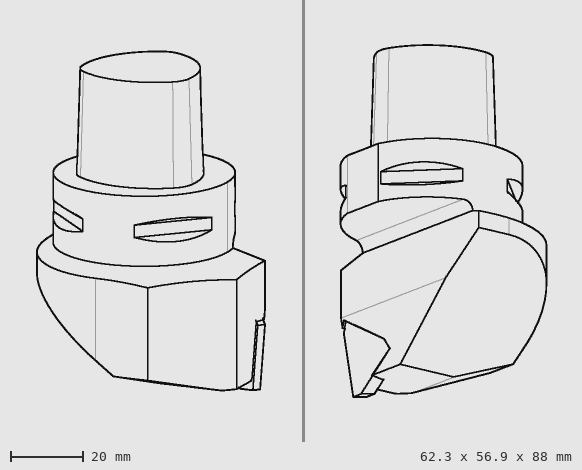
import cadquery as cq
import math


SHANK_HEIGHT = 30.0
SHANK_DRAFT = 1.8
LOBE_RADIUS = 7.9
LOBE_REACH = 18.7
SIDE_REACH = 16.4
LOBE_COUNT = 3

FLANGE_RADIUS = 25.1
FLANGE_HEIGHT = 20.0
FLAT_Y = 24.1
UNDERCUT_Z = -17.1
UNDERCUT_RISE = 0.35
UNDERCUT_FILLET = 3.0

GROOVE_COUNT = 4
GROOVE_Z = -10.0
GROOVE_FLOOR_DISTANCE = 22.35
GROOVE_FLOOR_WIDTH = 3.5
GROOVE_MOUTH_WIDTH = 6.6

HEAD_LEFT_X = -27.3
HEAD_RIGHT_X = 34.3
HEAD_FACE_Y = 4.8
HEAD_FRONT_Y = -32.8
HEAD_CORNER_RADIUS = -HEAD_LEFT_X
HEAD_CORNER_CUT = 18.5
HEAD_BOTTOM_Z = -54.5
HEAD_TOP_SLOPE = 15.0
RELIEF_LEFT_Z = -25.5
RELIEF_BOTTOM_X = 12.3
FRONT_BEVEL_Y = -17.3
FRONT_BEVEL_Z = -49.5
FACE_TILT_Z = -36.3
FACE_BOTTOM_Y = 1.3

INSERT_TIP = (35.0, 0, SHANK_HEIGHT - 88)
INSERT_FLAT = 3.7
INSERT_EDGE = 18.0
INSERT_THICKNESS = 4.7
INSERT_TILT = 10.5
INSERT_YAW = 2.0
INSERT_SIDES = 3

CUT_MARGIN = 8.8


def polar(radius, degrees):
    angle = math.radians(degrees)
    return (radius * math.cos(angle), radius * math.sin(angle))


def make_shank():
    """Three lobes joined tangentially by three broad arcs, tapering upward."""
    lobe_offset = LOBE_REACH - LOBE_RADIUS
    half_step = 180 / LOBE_COUNT
    along = lobe_offset * math.cos(math.radians(half_step))
    across = lobe_offset * math.sin(math.radians(half_step))
    reach_gap = SIDE_REACH - LOBE_RADIUS
    side_offset = (lobe_offset**2 - reach_gap**2) / (2 * (reach_gap - along))
    side_half_angle = math.degrees(math.atan2(across, along + side_offset))
    lobe_half_angle = half_step - side_half_angle

    def lobe_point(lobe_angle, turn):
        center = polar(lobe_offset, lobe_angle)
        rim = polar(LOBE_RADIUS, lobe_angle + turn)
        return (center[0] + rim[0], center[1] + rim[1])

    first_angle = 90
    step = 360 / LOBE_COUNT
    outline = cq.Workplane("XY").moveTo(*lobe_point(first_angle, -lobe_half_angle))
    for index in range(LOBE_COUNT):
        angle = first_angle + index * step
        outline = outline.threePointArc(lobe_point(angle, 0), lobe_point(angle, lobe_half_angle))
        side_middle = polar(SIDE_REACH, angle + half_step)
        outline = outline.threePointArc(side_middle, lobe_point(angle + step, -lobe_half_angle))
    return outline.close().extrude(SHANK_HEIGHT, taper=SHANK_DRAFT)


def make_groove_cutter():
    """Trapezoidal groove with a flat floor, square to the X direction."""
    length = 2 * FLANGE_RADIUS
    slope = (GROOVE_MOUTH_WIDTH - GROOVE_FLOOR_WIDTH) / 2 / (FLANGE_RADIUS - GROOVE_FLOOR_DISTANCE)
    outer_x = FLANGE_RADIUS + CUT_MARGIN
    floor_half = GROOVE_FLOOR_WIDTH / 2
    outer_half = floor_half + slope * (outer_x - GROOVE_FLOOR_DISTANCE)
    return (
        cq.Workplane("XZ")
        .polyline([
            (GROOVE_FLOOR_DISTANCE, GROOVE_Z - floor_half),
            (outer_x, GROOVE_Z - outer_half),
            (outer_x, GROOVE_Z + outer_half),
            (GROOVE_FLOOR_DISTANCE, GROOVE_Z + floor_half),
        ])
        .close()
        .extrude(length / 2, both=True)
    )


def make_flange():
    flange = cq.Workplane("XY").circle(FLANGE_RADIUS).extrude(-FLANGE_HEIGHT)
    groove = make_groove_cutter()
    step = 360 / GROOVE_COUNT
    for index in range(GROOVE_COUNT):
        flange = flange.cut(groove.rotate((0, 0, 0), (0, 0, 1), (index + 0.5) * step))

    flat_cutter = cq.Workplane("XY").box(
        2 * FLANGE_RADIUS, CUT_MARGIN, 2 * FLANGE_HEIGHT
    ).translate((0, FLAT_Y + CUT_MARGIN / 2, 0))

    diagonal = UNDERCUT_FILLET * math.sqrt(0.5)
    fillet_center = (HEAD_FACE_Y + UNDERCUT_FILLET, UNDERCUT_Z - UNDERCUT_FILLET)
    undercut = (
        cq.Workplane("YZ")
        .moveTo(HEAD_FACE_Y, -FLANGE_HEIGHT - CUT_MARGIN)
        .lineTo(HEAD_FACE_Y, fillet_center[1])
        .threePointArc(
            (fillet_center[0] - diagonal, fillet_center[1] + diagonal),
            (fillet_center[0], UNDERCUT_Z),
        )
        .lineTo(FLAT_Y, UNDERCUT_Z + UNDERCUT_RISE)
        .lineTo(FLAT_Y, -FLANGE_HEIGHT - CUT_MARGIN)
        .close()
        .extrude(FLANGE_RADIUS + CUT_MARGIN, both=True)
    )
    return flange.cut(flat_cutter).cut(undercut)


def make_head():
    """Offset head: plan outline limited by a conical top, its side profile and a sloping underside."""
    corner_y = HEAD_FRONT_Y + HEAD_CORNER_RADIUS
    diagonal = HEAD_CORNER_RADIUS * math.sqrt(0.5)
    plan = (
        cq.Workplane("XY", origin=(0, 0, HEAD_BOTTOM_Z))
        .moveTo(HEAD_LEFT_X, HEAD_FACE_Y)
        .lineTo(HEAD_LEFT_X, corner_y)
        .threePointArc((-diagonal, corner_y - diagonal), (0, HEAD_FRONT_Y))
        .lineTo(HEAD_RIGHT_X - HEAD_CORNER_CUT, HEAD_FRONT_Y)
        .lineTo(HEAD_RIGHT_X, HEAD_FRONT_Y + HEAD_CORNER_CUT)
        .lineTo(HEAD_RIGHT_X, HEAD_FACE_Y)
        .close()
        .extrude(-HEAD_BOTTOM_Z)
    )

    outer_radius = HEAD_RIGHT_X - HEAD_FRONT_Y
    cone_drop = (outer_radius - FLANGE_RADIUS) * math.tan(math.radians(HEAD_TOP_SLOPE))
    cone = (
        cq.Workplane("XZ")
        .polyline([
            (0, HEAD_BOTTOM_Z),
            (outer_radius, HEAD_BOTTOM_Z),
            (outer_radius, -FLANGE_HEIGHT - cone_drop),
            (FLANGE_RADIUS, -FLANGE_HEIGHT),
            (0, -FLANGE_HEIGHT),
        ])
        .close()
        .revolve(360, (0, 0, 0), (0, 1, 0))
    )

    side_profile = (
        cq.Workplane("YZ", origin=(HEAD_LEFT_X, 0, 0))
        .polyline([
            (HEAD_FACE_Y, 0),
            (HEAD_FACE_Y, FACE_TILT_Z),
            (FACE_BOTTOM_Y, HEAD_BOTTOM_Z),
            (FRONT_BEVEL_Y, HEAD_BOTTOM_Z),
            (HEAD_FRONT_Y, FRONT_BEVEL_Z),
            (HEAD_FRONT_Y, 0),
        ])
        .close()
        .extrude(HEAD_RIGHT_X - HEAD_LEFT_X)
    )

    underside_relief = (
        cq.Workplane("XZ", origin=(0, HEAD_FACE_Y, 0))
        .polyline([
            (HEAD_LEFT_X, RELIEF_LEFT_Z),
            (RELIEF_BOTTOM_X, HEAD_BOTTOM_Z),
            (HEAD_LEFT_X, HEAD_BOTTOM_Z),
        ])
        .close()
        .extrude(HEAD_FACE_Y - HEAD_FRONT_Y)
    )
    return plan.intersect(cone).intersect(side_profile).cut(underside_relief)


def make_insert(thickness, front_extension=0.0):
    """Insert placed by its cutting tip; an extension carries its outline forward of the rake face."""
    outline = cq.Workplane("XZ", origin=(0, front_extension, 0)).moveTo(0, 0)
    point = (0, 0)
    for index in range(INSERT_SIDES):
        turn = index * 360 / INSERT_SIDES
        for length, direction in ((INSERT_EDGE, 90), (INSERT_FLAT, 120)):
            step = polar(length, direction + turn)
            point = (point[0] + step[0], point[1] + step[1])
            outline = outline.lineTo(*point)
    body = outline.close().extrude(thickness + front_extension)
    return (
        body.rotate((0, 0, 0), (0, 0, 1), -INSERT_YAW)
        .rotate((0, 0, 0), (1, 0, 0), -INSERT_TILT)
        .translate(INSERT_TIP)
    )


insert = make_insert(INSERT_THICKNESS)
insert_pocket = make_insert(INSERT_THICKNESS, CUT_MARGIN)

holder = make_shank().union(make_flange()).union(make_head()).cut(insert_pocket)

result = cq.Compound.makeCompound([holder.solids().val(), insert.val()])